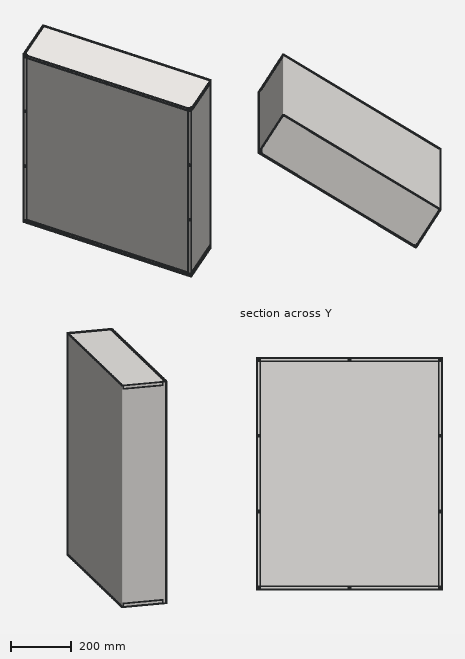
import cadquery as cq

WIDTH = 609.5
HEIGHT = 762.0
DEPTH = 154.0

SHEET = 1.5
WRAPPER_BEND_DIAMETER = 0.34
WRAPPER_INNER_BEND = WRAPPER_BEND_DIAMETER / 2
CAP_INNER_BEND = 1.8
CAP_OUTER_BEND = CAP_INNER_BEND + SHEET
FLANGE_WIDTH = 12.0

TAB_FRONT_GAP = 13.0
TAB_BACK_GAP = 4.5

CAP_BACK_CLEARANCE = 1.0

SCREW_INSET = 8.0
COVER_HOLE_DIAMETER = 8.0
FLANGE_HOLE_DIAMETER = 4.3
SIDE_SCREW_ROWS = 4

FRONT_Y = -DEPTH / 2
BACK_Y = DEPTH / 2
FLANGE_Y = FRONT_Y + SHEET
SCREW_X = WIDTH / 2 - SCREW_INSET
SCREW_Z = HEIGHT / 2 - SCREW_INSET
ROW_PITCH = 2 * SCREW_Z / (SIDE_SCREW_ROWS - 1)
FLANGE_INNER_X = WIDTH / 2 - FLANGE_WIDTH
INSIDE_HALF_WIDTH = WIDTH / 2 - SHEET
CAP_FLAT_HALF_WIDTH = INSIDE_HALF_WIDTH - CAP_OUTER_BEND
CAP_FLAT_FRONT_Y = FLANGE_Y + CAP_OUTER_BEND
INSIDE_BACK_Y = BACK_Y - SHEET
CAP_BACK_Y = INSIDE_BACK_Y - CAP_BACK_CLEARANCE

side_screws = [
    (side * SCREW_X, row * ROW_PITCH - SCREW_Z) for side in (-1, 1) for row in range(SIDE_SCREW_ROWS)
]
middle_screws = [(0, -SCREW_Z), (0, SCREW_Z)]


def front_holes(points, diameter):
    """Cylinders along Y through the cover and the flanges behind it, at (x, z) points."""
    plane = cq.Workplane("XZ", origin=(0, FRONT_Y, 0))
    return plane.pushPoints(points).circle(diameter / 2).extrude(-2 * SHEET)


def box_between(low, high):
    """Box given by its two opposite corners."""
    size = [b - a for a, b in zip(low, high)]
    return cq.Workplane("XY").box(*size, centered=False).translate(low)


def make_cover():
    """Flat front plate with a clearance hole for each screw."""
    plate = box_between((-WIDTH / 2, FRONT_Y, -HEIGHT / 2), (WIDTH / 2, FLANGE_Y, HEIGHT / 2))
    return plate.cut(front_holes(side_screws + middle_screws, COVER_HOLE_DIAMETER))


def make_wrapper():
    """Back and two sides bent from one sheet, with an inward flange along each front edge."""
    outer = (
        cq.Workplane("XY", origin=(0, 0, -HEIGHT / 2))
        .moveTo(-WIDTH / 2, FLANGE_Y)
        .lineTo(WIDTH / 2, FLANGE_Y)
        .lineTo(WIDTH / 2, BACK_Y)
        .lineTo(-WIDTH / 2, BACK_Y)
        .close()
        .extrude(HEIGHT)
        .edges("|Z")
        .fillet(WRAPPER_INNER_BEND + SHEET)
    )
    cavity = (
        box_between(
            (-INSIDE_HALF_WIDTH, FLANGE_Y + SHEET, -HEIGHT / 2),
            (INSIDE_HALF_WIDTH, INSIDE_BACK_Y, HEIGHT / 2),
        )
        .edges("|Z")
        .fillet(WRAPPER_INNER_BEND)
    )
    opening = box_between(
        (-FLANGE_INNER_X, FLANGE_Y, -HEIGHT / 2), (FLANGE_INNER_X, FLANGE_Y + SHEET, HEIGHT / 2)
    )
    return outer.cut(cavity).cut(opening).cut(front_holes(side_screws, FLANGE_HOLE_DIAMETER))


def bent_flange(length):
    """Quarter bend and flange of the top cap: starts at the origin, bends from +X down to -Z,
    and is centred along Y."""
    return (
        cq.Workplane("XZ", origin=(0, length / 2, 0))
        .lineTo(0, -SHEET)
        .radiusArc((CAP_INNER_BEND, -CAP_OUTER_BEND), CAP_INNER_BEND)
        .lineTo(CAP_INNER_BEND, -FLANGE_WIDTH)
        .lineTo(CAP_OUTER_BEND, -FLANGE_WIDTH)
        .lineTo(CAP_OUTER_BEND, -CAP_OUTER_BEND)
        .radiusArc((0, 0), -CAP_OUTER_BEND)
        .close()
        .extrude(length)
    )


def make_end_cap():
    """Top plate with a front flange and a tab down the inside of each wrapper side."""
    top = HEIGHT / 2
    cap = box_between(
        (-CAP_FLAT_HALF_WIDTH, CAP_FLAT_FRONT_Y, top - SHEET), (CAP_FLAT_HALF_WIDTH, CAP_BACK_Y, top)
    )
    front_flange = bent_flange(2 * FLANGE_INNER_X).rotate((0, 0, 0), (0, 0, 1), -90)
    cap = cap.union(front_flange.translate((0, CAP_FLAT_FRONT_Y, top)))

    tab_front = FRONT_Y + TAB_FRONT_GAP
    tab_back = BACK_Y - TAB_BACK_GAP
    tab = bent_flange(tab_back - tab_front).translate(
        (CAP_FLAT_HALF_WIDTH, (tab_front + tab_back) / 2, top)
    )
    cap = cap.union(tab).union(tab.mirror("YZ"))
    return cap.cut(front_holes(middle_screws, FLANGE_HOLE_DIAMETER))


cover = make_cover()
wrapper = make_wrapper()
top_cap = make_end_cap()
end_caps = [top_cap, top_cap.mirror("XY")]

result = cq.Compound.makeCompound([cover.val(), wrapper.val(), *[cap.val() for cap in end_caps]])